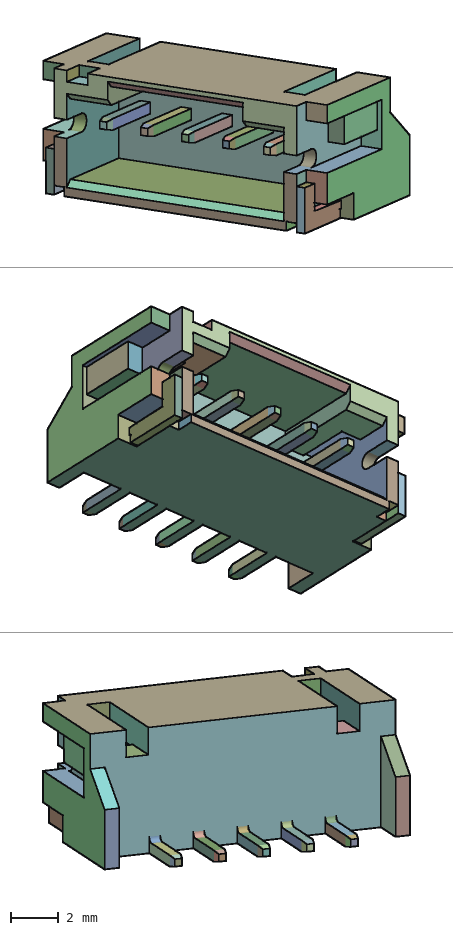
import cadquery as cq

WIDTH = 13.9
HEIGHT = 5.5
TOP_LENGTH = 6.0
FLANK_LENGTH = 7.6
FLANK_THICKNESS = 0.67
SLOPE_LOW_Z = 2.61
SLOPE_HIGH_Z = 3.98

STEP_INSET = 1.01
STEP_DEPTH = 0.8

CAVITY_HALF_WIDTH = 5.31
CAVITY_DEPTH = 4.25
CAVITY_FLOOR = 0.7
CAVITY_CEILING = 4.2
KEYWAY_HALF_WIDTH = 3.31
KEYWAY_CEILING = 5.0
LEAD_IN = 0.29

TOP_SLOT_WIDTH = 1.01
TOP_SLOT_FRONT = 1.74
TOP_SLOT_FLOOR = 4.31
POLARITY_NOTCH_LENGTH = 1.01
POLARITY_NOTCH_FLOOR = 5.0

RECESS_FLOOR = 2.55
RECESS_CEILING = 4.7
RECESS_REAR = 5.3
BLOCK_INSET = 0.22
BLOCK_FRONT = 2.59
LATCH_SLOT_HEIGHT = 0.8
LATCH_SLOT_REAR = 1.63

SHEET = 0.4
SEAT_REAR = 2.97
SEAT_HEIGHT = 1.17
LEG_REAR_HEIGHT = 0.76
LEG_FRONT_HEIGHT = 0.8
UPRIGHT_HEIGHT = 2.0
HEEL_RELIEF = 0.08
UNDERCUT_WIDTH = 0.5

CONTACT_COUNT = 5
CONTACT_PITCH = 2.0
CONTACT_SIZE = 0.5
CONTACT_FRONT = 0.8
CONTACT_REAR = 8.6
CONTACT_Z = 3.1
TIP_LENGTH = 0.36
TIP_SIZE = 0.33
BEND_RADIUS = 0.22

HALF_WIDTH = WIDTH / 2
SIDES = (-1, 1)


def box_between(x_range, y_range, z_range):
    """Axis-aligned box; the ends of each range may come in either order."""
    sizes = [abs(b - a) for a, b in (x_range, y_range, z_range)]
    corner = [min(pair) for pair in (x_range, y_range, z_range)]
    return cq.Workplane("XY").box(*sizes, centered=False).translate(tuple(corner))


def side_range(side, outer_inset, inner_inset):
    """X range between two distances inward from the outer face on one side."""
    return side * (HALF_WIDTH - outer_inset), side * (HALF_WIDTH - inner_inset)


def yz_prism(points, x_range):
    """Prism along X with a polygonal outline given as (y, z) points."""
    prism = cq.Workplane("YZ").polyline(points).close().extrude(abs(x_range[1] - x_range[0]))
    return prism.translate((min(x_range), 0, 0))


def housing_block():
    """Main block with a sloped flank behind it on each side."""
    block = box_between((-HALF_WIDTH, HALF_WIDTH), (0, TOP_LENGTH), (0, HEIGHT))
    flank_outline = [
        (TOP_LENGTH, 0),
        (FLANK_LENGTH, 0),
        (FLANK_LENGTH, SLOPE_LOW_Z),
        (TOP_LENGTH, SLOPE_HIGH_Z),
    ]
    for side in SIDES:
        block = block.union(yz_prism(flank_outline, side_range(side, 0, FLANK_THICKNESS)))
    return block


def cavity_part(half_width, ceiling):
    """Cavity volume of one width, flaring by the lead-in at its mouth."""
    outline = [
        (0, CAVITY_FLOOR - LEAD_IN),
        (LEAD_IN, CAVITY_FLOOR),
        (CAVITY_DEPTH, CAVITY_FLOOR),
        (CAVITY_DEPTH, ceiling),
        (LEAD_IN, ceiling),
        (0, ceiling + LEAD_IN),
    ]
    return yz_prism(outline, (-half_width, half_width))


def cavity():
    full_width_part = cavity_part(CAVITY_HALF_WIDTH, CAVITY_CEILING)
    return full_width_part.union(cavity_part(KEYWAY_HALF_WIDTH, KEYWAY_CEILING))


def top_slot(side):
    """Slot in line with the cavity side, open to the cavity and at the rear."""
    x_range = (side * CAVITY_HALF_WIDTH, side * (CAVITY_HALF_WIDTH - TOP_SLOT_WIDTH))
    over_cavity = box_between(x_range, (TOP_SLOT_FRONT, CAVITY_DEPTH), (CAVITY_FLOOR, HEIGHT))
    over_back_wall = box_between(x_range, (CAVITY_DEPTH, TOP_LENGTH), (TOP_SLOT_FLOOR, HEIGHT))
    return over_cavity.union(over_back_wall)


def polarity_notch():
    """Notch in the front top edge at the left, in line with the top slot."""
    return box_between(
        (-CAVITY_HALF_WIDTH, TOP_SLOT_WIDTH - CAVITY_HALF_WIDTH),
        (0, POLARITY_NOTCH_LENGTH),
        (POLARITY_NOTCH_FLOOR, HEIGHT),
    )


def front_step(side):
    return box_between(side_range(side, 0, STEP_INSET), (0, STEP_DEPTH), (0, HEIGHT))


def side_recess(side):
    """Recess in the outer side, less the block left standing in its upper rear corner."""
    recess = box_between(
        side_range(side, 0, STEP_INSET), (STEP_DEPTH, RECESS_REAR), (RECESS_FLOOR, RECESS_CEILING)
    )
    block = box_between(
        side_range(side, BLOCK_INSET, STEP_INSET),
        (BLOCK_FRONT, RECESS_REAR),
        (RECESS_FLOOR + LATCH_SLOT_HEIGHT, RECESS_CEILING),
    )
    return recess.cut(block)


def latch_slot(side):
    """Round-ended slot through the cavity side wall, open at the front."""
    radius = LATCH_SLOT_HEIGHT / 2
    x_range = side_range(side, STEP_INSET, HALF_WIDTH - CAVITY_HALF_WIDTH)
    ceiling = RECESS_FLOOR + LATCH_SLOT_HEIGHT
    profile = (
        cq.Workplane("YZ")
        .moveTo(0, RECESS_FLOOR)
        .lineTo(LATCH_SLOT_REAR - radius, RECESS_FLOOR)
        .threePointArc((LATCH_SLOT_REAR, RECESS_FLOOR + radius), (LATCH_SLOT_REAR - radius, ceiling))
        .lineTo(0, ceiling)
        .close()
    )
    return profile.extrude(abs(x_range[1] - x_range[0])).translate((min(x_range), 0, 0))


def tab_seat(side):
    """Seat for the tab leg, with an undercut beside the tab at the front."""
    seat = box_between(side_range(side, 0, STEP_INSET), (STEP_DEPTH, SEAT_REAR), (0, SEAT_HEIGHT))
    undercut = box_between(
        side_range(side, STEP_INSET, STEP_INSET + UNDERCUT_WIDTH), (0, STEP_DEPTH), (0, SHEET)
    )
    return seat.union(undercut)


def contact_tip(x, base_y, end_y, z):
    """Square tip tapering from base_y to end_y."""
    base_plane = cq.Plane(origin=(x, base_y, z), xDir=(1, 0, 0), normal=(0, end_y - base_y, 0))
    return (
        cq.Workplane(base_plane)
        .rect(CONTACT_SIZE, CONTACT_SIZE)
        .workplane(offset=abs(end_y - base_y))
        .rect(TIP_SIZE, TIP_SIZE)
        .loft(ruled=True)
    )


def contact(x):
    """Prong in the cavity and solder tail behind the rear wall, both part of the housing."""
    half = CONTACT_SIZE / 2
    x_range = (x - half, x + half)
    prong_base = CONTACT_FRONT + TIP_LENGTH
    tail_base = CONTACT_REAR - TIP_LENGTH
    prong = box_between(x_range, (prong_base, CAVITY_DEPTH), (CONTACT_Z - half, CONTACT_Z + half))
    tail_side = (
        cq.Workplane("YZ")
        .moveTo(TOP_LENGTH, 0)
        .lineTo(tail_base, 0)
        .lineTo(tail_base, CONTACT_SIZE)
        .lineTo(TOP_LENGTH + BEND_RADIUS, CONTACT_SIZE)
        .radiusArc((TOP_LENGTH, CONTACT_SIZE + BEND_RADIUS), BEND_RADIUS)
        .close()
    )
    tail = tail_side.extrude(CONTACT_SIZE).translate((x - half, 0, 0))
    prong = prong.union(contact_tip(x, prong_base, CONTACT_FRONT, CONTACT_Z))
    tail = tail.union(contact_tip(x, tail_base, CONTACT_REAR, half))
    return prong, tail


def make_housing():
    body = housing_block().cut(cavity()).cut(polarity_notch())
    for side in SIDES:
        for pocket in (top_slot, front_step, side_recess, latch_slot, tab_seat):
            body = body.cut(pocket(side))
    for index in range(CONTACT_COUNT):
        prong, tail = contact((index - (CONTACT_COUNT - 1) / 2) * CONTACT_PITCH)
        body = body.union(prong).union(tail)
    return body


def make_solder_tab(side):
    """Sheet tab: an upright at the front corner and a slightly tapered leg running back into its seat."""
    outline = [
        (0, 0),
        (SEAT_REAR - HEEL_RELIEF, 0),
        (SEAT_REAR - HEEL_RELIEF, SHEET),
        (SEAT_REAR, SHEET),
        (SEAT_REAR, LEG_REAR_HEIGHT),
        (STEP_DEPTH, LEG_FRONT_HEIGHT),
        (STEP_DEPTH, UPRIGHT_HEIGHT),
        (0, UPRIGHT_HEIGHT),
    ]
    return yz_prism(outline, side_range(side, STEP_INSET - SHEET, STEP_INSET))


housing = make_housing()
solder_tabs = [make_solder_tab(side) for side in SIDES]

result = cq.Compound.makeCompound([housing.val(), *[tab.val() for tab in solder_tabs]])